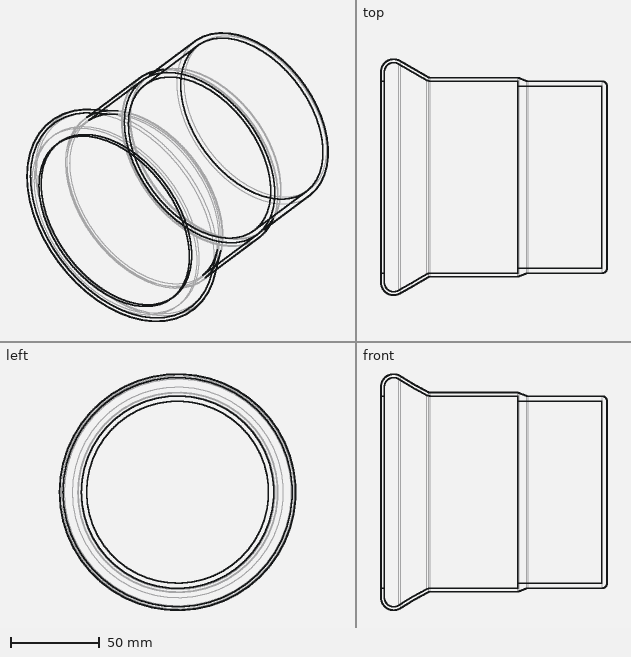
import cadquery as cq
import math

length = 127.0
rim_radius = 66.4
barrel_radius = 112.0 / 2
spigot_radius = 108.0 / 2
wall = barrel_radius - spigot_radius

bead_radius = 7.2
bead_center_radius = rim_radius - bead_radius
flare_angle = math.radians(30)
blend_radius = wall

step_start = 77.0
step_end = 82.0

end_round = 2.9
spigot_bore_radius = spigot_radius - end_round
end_wall = end_round


def bead_point(radius, angle):
    """Point on a circle about the bead center, at an angle from the radial direction."""
    return (bead_radius + radius * math.sin(angle), bead_center_radius + radius * math.cos(angle))


def flare_corner(radius, cylinder_radius):
    """Where the flare tangent to the bead meets a cylinder."""
    x, r = bead_point(radius, flare_angle)
    return (x + (r - cylinder_radius) / math.tan(flare_angle), cylinder_radius)


def rounded_corner(sketch, before, corner, after, radius):
    """Draw to a corner and round it with an arc tangent to both sides."""
    corner = cq.Vector(*corner)
    back = (cq.Vector(*before) - corner).normalized()
    ahead = (cq.Vector(*after) - corner).normalized()
    half_angle = back.getAngle(ahead) / 2
    setback = radius / math.tan(half_angle)
    start = corner + back * setback
    end = corner + ahead * setback
    bisector = (back + ahead).normalized()
    middle = corner + bisector * (radius / math.sin(half_angle) - radius)
    return sketch.lineTo(start.x, start.y).threePointArc(middle.toTuple()[:2], end.toTuple()[:2])


def revolve_profile(sketch):
    return sketch.close().revolve(360, (0, 0, 0), (1, 0, 0))


def make_body():
    flare_start = bead_point(bead_radius, flare_angle)
    flare_end = flare_corner(bead_radius, barrel_radius)
    barrel_end = (step_start, barrel_radius)
    spigot_start = (step_end, spigot_radius)
    spigot_end = (length, spigot_radius)

    sketch = cq.Workplane("XY").lineTo(0, bead_center_radius)
    sketch = sketch.threePointArc(bead_point(bead_radius, -flare_angle), flare_start)
    sketch = rounded_corner(sketch, flare_start, flare_end, barrel_end, blend_radius)
    sketch = rounded_corner(sketch, flare_end, barrel_end, spigot_start, blend_radius)
    sketch = rounded_corner(sketch, barrel_end, spigot_start, spigot_end, blend_radius)
    sketch = rounded_corner(sketch, spigot_start, spigot_end, (length, 0), end_round)
    return revolve_profile(sketch.lineTo(length, 0))


def make_cavity():
    """Socket with a seal groove behind the lip, a pipe stop and a blind spigot bore."""
    groove_radius = bead_radius - wall
    flare_start = bead_point(groove_radius, flare_angle)
    flare_end = flare_corner(groove_radius, spigot_radius)
    socket_end = (step_start, spigot_radius)
    bore_end = length - end_wall

    sketch = cq.Workplane("XY").lineTo(0, spigot_radius).lineTo(wall, spigot_radius)
    sketch = sketch.lineTo(wall, bead_center_radius)
    sketch = sketch.threePointArc(bead_point(groove_radius, -flare_angle), flare_start)
    sketch = rounded_corner(sketch, flare_start, flare_end, socket_end, blend_radius + wall)
    sketch = sketch.lineTo(*socket_end).lineTo(step_start, spigot_bore_radius)
    return revolve_profile(sketch.lineTo(bore_end, spigot_bore_radius).lineTo(bore_end, 0))


result = make_body().cut(make_cavity())